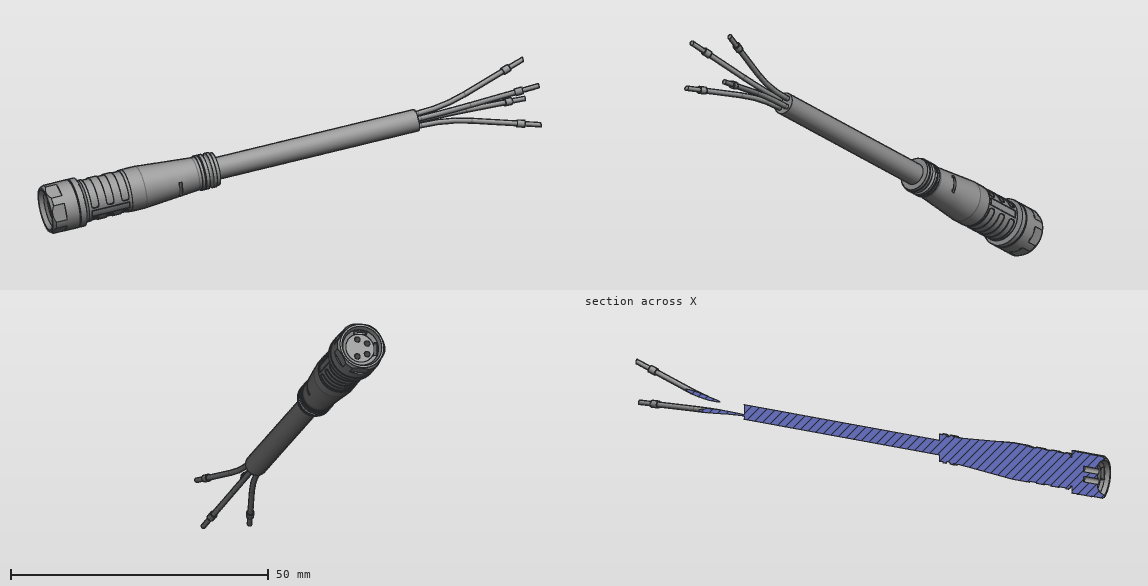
import cadquery as cq
import math

LENGTH = 100.0
CUT_MARGIN = 1.0

NUT_DIA = 9.6
NUT_FRONT_DIA = 8.8
NUT_END = 6.9
NUT_CHAMFER = 0.6
NUT_GROOVE_Y = 5.5
NUT_GROOVE_WIDTH = 0.2
NUT_GROOVE_DIA = 9.4
FLAT_COUNT = 6
FLAT_LENGTH = 2.8
FLAT_DISTANCE = 4.5

MOUTH_DIA = 8.0
THROAT_DIA = 7.2
THROAT_DEPTH = 0.9
INSERT_DIA = 5.7
FACE_DEPTH = 1.4
CONTACT_HOLE_DIA = 1.1
CONTACT_HOLE_DEPTH = 3.0
CONTACT_RADIUS = 1.8
CONTACT_ANGLES = (37, 107, -107, -37)
KEY_WIDTH = 2.6
KEY_DEPTH = 2.0
KEY_INNER = 2.8
KEY_OUTER = 3.4

NECK_DIA = 6.9
GRIP_START = 7.2
GRIP_CHAMFER = 0.4
GRIP_DIA = 8.3
GRIP_END = 16.5
COLLAR_DIA = 8.4
TAPER_START = 19.4
TAPER_END = 30.6
RELIEF_DIA = 6.5
RING_DIA = 6.9
RINGS = ((31.2, 31.8), (32.0, 34.2))
BEAD_GROOVE_Y = 33.1
BEAD_GROOVE_RADIUS = 0.4
SIDE_NOTCH_Y = 26.4
SIDE_NOTCH_WIDTH = 0.6
SIDE_NOTCH_DISTANCE = 3.1
RELIEF_END = 34.9

GROOVE_DIA = 8.0
GROOVE_WIDTH = 1.5
GROOVE_START = 8.2
GROOVE_PITCH = 3.1
GROOVE_COUNT = 3
GROOVE_END_HEIGHT = 1.3
GROOVE_CORNER = 0.5
PANEL_HEIGHT = 1.5

JACKET_DIA = 4.3
JACKET_END = 76.2
WIRE_DIA = 1.0
WIRE_STUB = 0.7
WIRE_ROOT = 1.0
WIRE_CIRCLE = 1.2
WIRE_COUNT = 4
WIRE_FIRST_ANGLE = 53
WIRE_TILT = 16.8
BEND_LENGTH = 10.0
FERRULE_START = 95.5
FERRULE_LENGTH = 1.5
FERRULE_DIA = 1.4
TIP_DIA = 0.9


def cylinder(diameter, start, end):
    """Solid cylinder on the Y axis between two positions."""
    return cq.Workplane("XZ", origin=(0, start, 0)).circle(diameter / 2).extrude(start - end)


def body():
    """Turned outline of nut, grip, sleeve, strain relief and jacket."""
    outline = [
        (0, 0),
        (NUT_FRONT_DIA, 0),
        (NUT_DIA, NUT_CHAMFER),
        (NUT_DIA, NUT_GROOVE_Y),
        (NUT_GROOVE_DIA, NUT_GROOVE_Y),
        (NUT_GROOVE_DIA, NUT_GROOVE_Y + NUT_GROOVE_WIDTH),
        (NUT_DIA, NUT_GROOVE_Y + NUT_GROOVE_WIDTH),
        (NUT_DIA, NUT_END),
        (NECK_DIA, NUT_END),
        (NECK_DIA, GRIP_START),
        (GRIP_DIA - 2 * GRIP_CHAMFER, GRIP_START),
        (GRIP_DIA, GRIP_START + GRIP_CHAMFER),
        (GRIP_DIA, GRIP_END),
        (COLLAR_DIA, GRIP_END),
        (COLLAR_DIA, TAPER_START),
        (RELIEF_DIA, TAPER_END),
    ]
    for ring_start, ring_end in RINGS:
        outline += [
            (RELIEF_DIA, ring_start),
            (RING_DIA, ring_start),
            (RING_DIA, ring_end),
            (RELIEF_DIA, ring_end),
        ]
    outline += [
        (RELIEF_DIA, RELIEF_END),
        (JACKET_DIA, RELIEF_END),
        (JACKET_DIA, JACKET_END),
        (0, JACKET_END),
    ]
    half = [(diameter / 2, y) for diameter, y in outline]
    return cq.Workplane("XY").polyline(half).close().revolve(360, (0, 0, 0), (0, 1, 0))


def nut_flats():
    """Six short wrench flats at the front of the nut."""
    cutter = cq.Workplane("XY").box(NUT_DIA, FLAT_LENGTH, CUT_MARGIN, centered=(True, False, False))
    cutter = cutter.translate((0, 0, FLAT_DISTANCE))
    cutters = cq.Workplane("XY")
    for index in range(FLAT_COUNT):
        cutters = cutters.add(cutter.rotate((0, 0, 0), (0, 1, 0), index * 360 / FLAT_COUNT))
    return cutters.combine()


def socket_recess():
    """Funnel-shaped opening with two keyways and the four contact holes."""
    funnel = [
        (0, 0),
        (MOUTH_DIA / 2, 0),
        (THROAT_DIA / 2, THROAT_DEPTH),
        (INSERT_DIA / 2, FACE_DEPTH),
        (0, FACE_DEPTH),
    ]
    recess = cq.Workplane("XY").polyline(funnel).close().revolve(360, (0, 0, 0), (0, 1, 0))
    keyway = cq.Workplane("XY").box(
        KEY_WIDTH, KEY_DEPTH, KEY_OUTER - KEY_INNER, centered=(True, False, False)
    )
    keyway = keyway.translate((0, 0, KEY_INNER))
    recess = recess.union(keyway).union(keyway.rotate((0, 0, 0), (0, 1, 0), 90))
    for angle in CONTACT_ANGLES:
        x = CONTACT_RADIUS * math.cos(math.radians(angle))
        z = CONTACT_RADIUS * math.sin(math.radians(angle))
        hole = cylinder(CONTACT_HOLE_DIA, 0, FACE_DEPTH + CONTACT_HOLE_DEPTH)
        recess = recess.union(hole.translate((x, 0, z)))
    return recess


def grip_recesses():
    """Finger grooves with rounded corners above and below, and a shallow panel on each side."""
    grip_pattern_length = (GROOVE_COUNT - 1) * GROOVE_PITCH + GROOVE_WIDTH
    windows = cq.Workplane("XY").box(
        2 * GRIP_DIA, grip_pattern_length, PANEL_HEIGHT, centered=(True, False, True)
    )
    windows = windows.translate((0, GROOVE_START, 0))
    window = cq.Workplane("XY").box(
        2 * GRIP_DIA, GROOVE_WIDTH, GRIP_DIA, centered=(True, False, False)
    )
    window = window.edges("|X and <Z").fillet(GROOVE_CORNER)
    window = window.translate((0, 0, GROOVE_END_HEIGHT))
    for index in range(GROOVE_COUNT):
        upper = window.translate((0, GROOVE_START + index * GROOVE_PITCH, 0))
        windows = windows.union(upper).union(upper.mirror("XY"))
    shell = cylinder(GRIP_DIA + CUT_MARGIN, GRIP_START, GRIP_END)
    shell = shell.cut(cylinder(GROOVE_DIA, GRIP_START, GRIP_END))
    return shell.intersect(windows)


def bead_groove():
    """Round groove around the strain relief."""
    groove = cq.Workplane("XY").center(RING_DIA / 2, BEAD_GROOVE_Y).circle(BEAD_GROOVE_RADIUS)
    return groove.revolve(360, (-RING_DIA / 2, 0, 0), (-RING_DIA / 2, 1, 0))


def side_notches():
    """A straight notch across each side of the tapered sleeve."""
    notch = cq.Workplane("XY").box(CUT_MARGIN, SIDE_NOTCH_WIDTH, COLLAR_DIA, centered=(False, False, True))
    notch = notch.translate((SIDE_NOTCH_DISTANCE, SIDE_NOTCH_Y, 0))
    return notch.union(notch.mirror("YZ"))


def wire(angle):
    """One wire bending away from the axis, with its ferrule and bare tip cut square to Y."""
    tilt = math.radians(WIRE_TILT)
    sin_tilt = math.sin(tilt)
    cos_tilt = math.cos(tilt)
    bend_start = JACKET_END + WIRE_STUB
    bend_radius = BEND_LENGTH / sin_tilt

    def bend_point(turn):
        r = WIRE_CIRCLE + bend_radius * (1 - math.cos(turn))
        return (r, bend_start + bend_radius * math.sin(turn))

    bend_end = bend_point(tilt)

    def straight_point(y):
        return (bend_end[0] + (y - bend_end[1]) * math.tan(tilt), y)

    def tilted_rod(diameter, start_y, length):
        r, y = straight_point(start_y)
        direction = cq.Vector(sin_tilt, cos_tilt, 0)
        return cq.Workplane(cq.Solid.makeCylinder(diameter / 2, length, cq.Vector(r, y, 0), direction))

    path = (
        cq.Workplane("XY")
        .moveTo(WIRE_CIRCLE, JACKET_END - WIRE_ROOT)
        .lineTo(WIRE_CIRCLE, bend_start)
        .threePointArc(bend_point(tilt / 2), bend_end)
        .lineTo(*straight_point(FERRULE_START))
    )
    profile = cq.Workplane("XZ", origin=(WIRE_CIRCLE, JACKET_END - WIRE_ROOT, 0)).circle(WIRE_DIA / 2)
    insulated = profile.sweep(path)
    ferrule = tilted_rod(FERRULE_DIA, FERRULE_START, FERRULE_LENGTH)
    tip = tilted_rod(TIP_DIA, FERRULE_START, LENGTH - FERRULE_START + CUT_MARGIN)
    tip = tip.intersect(cylinder(LENGTH, JACKET_END, LENGTH))
    return insulated.union(ferrule).union(tip).rotate((0, 0, 0), (0, 1, 0), -angle)


result = body().cut(nut_flats()).cut(socket_recess()).cut(grip_recesses())
result = result.cut(bead_groove()).cut(side_notches())
for wire_index in range(WIRE_COUNT):
    result = result.union(wire(WIRE_FIRST_ANGLE + wire_index * 360 / WIRE_COUNT))